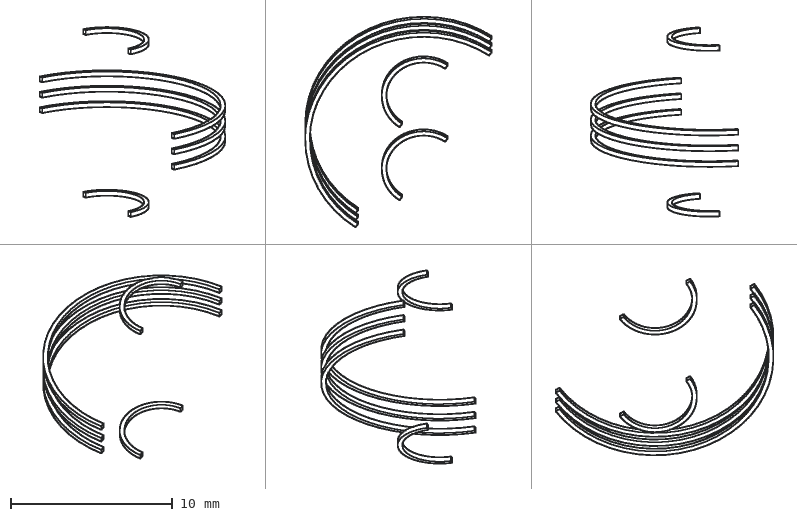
import cadquery as cq

RING_WIDTH = 0.3
RING_HEIGHT = 0.31

LARGE_OUTER_RADIUS = 7.32
LARGE_RING_COUNT = 3
LARGE_RING_PITCH = 1.0

SMALL_OUTER_RADIUS = 2.6
OVERALL_HEIGHT = 10.83
SMALL_RING_OFFSET = (OVERALL_HEIGHT - RING_HEIGHT) / 2


def half_ring(outer_radius, center_z):
    """Half ring of rectangular section on the +Y side of the Z axis."""
    inner_radius = outer_radius - RING_WIDTH
    return (
        cq.Workplane("XY")
        .workplane(offset=center_z - RING_HEIGHT / 2)
        .moveTo(-outer_radius, 0)
        .threePointArc((0, outer_radius), (outer_radius, 0))
        .lineTo(inner_radius, 0)
        .threePointArc((0, inner_radius), (-inner_radius, 0))
        .close()
        .extrude(RING_HEIGHT)
    )


large_rings = []
for index in range(LARGE_RING_COUNT):
    steps_from_middle = index - (LARGE_RING_COUNT - 1) / 2
    ring = half_ring(LARGE_OUTER_RADIUS, steps_from_middle * LARGE_RING_PITCH)
    large_rings.append(ring.val())

small_rings = []
for side in (-1, 1):
    ring = half_ring(SMALL_OUTER_RADIUS, side * SMALL_RING_OFFSET)
    small_rings.append(ring.val())

result = cq.Compound.makeCompound([*large_rings, *small_rings])